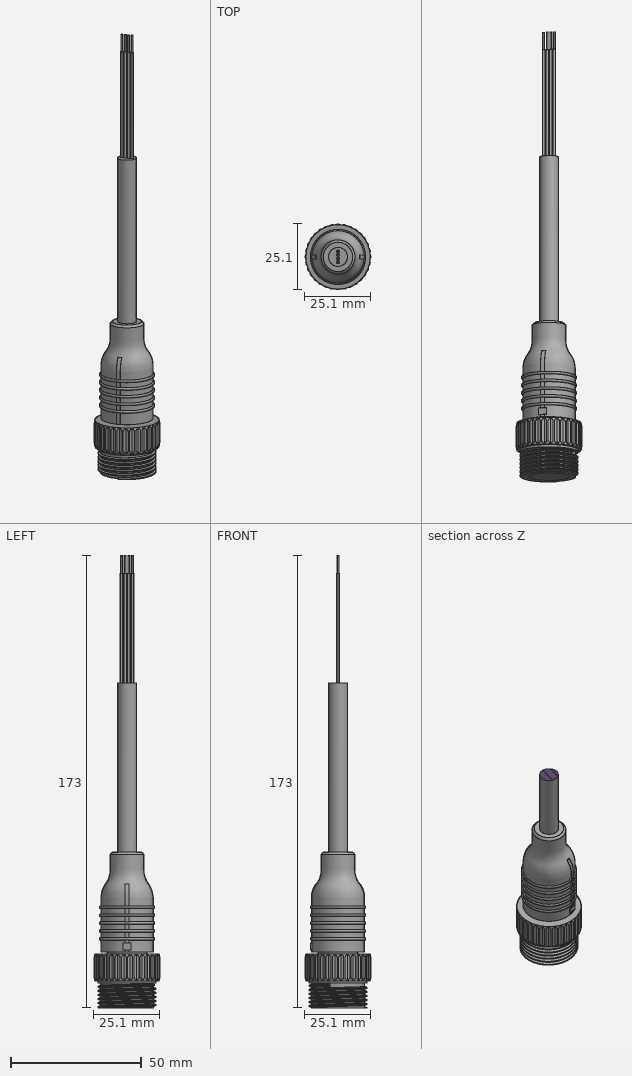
import cadquery as cq
import math

TOTAL_HEIGHT = 173.0

COLLAR_BOTTOM = 9.5
GRIP_BOTTOM = 10.4
NUT_TOP = 20.8
NUT_DIAMETER = 25.1
NUT_RADIUS = NUT_DIAMETER / 2
RIB_COUNT = 32
RIB_HEIGHT = 0.26
RIB_CREST = 0.5
GRIP_TAPER_HEIGHT = 1.2
BORE_RADIUS = 7.6

THREAD_RADIUS = 11.0
THREAD_DEPTH = 0.9
THREAD_PITCH = 1.5
THREAD_TURNS = 5.7
CREST_WIDTH = 0.3
ROOT_WIDTH = 1.2
ROOT_OVERLAP = 0.2

GRIP_END = 21.5
GRIP_RADIUS = 10.0
SHOULDER_BOTTOM = 42.2
SHOULDER_TOP = 52.8
SLEEVE_DIAMETER = 13.0
SLEEVE_RADIUS = SLEEVE_DIAMETER / 2
SLEEVE_TOP = 59.7
SLEEVE_CHAMFER = 0.9
RING_COUNT = 5
RING_RADIUS = 0.5
FIRST_RING_HEIGHT = 26.5
RING_SPAN = 12.1
RING_PITCH = RING_SPAN / (RING_COUNT - 1)

STRIPE_WIDTH = 1.5
STRIPE_HEIGHT = 0.2
MARK_WIDTH = 3.1
MARK_LENGTH = 2.6
MARK_BOTTOM = 22.3

CABLE_RADIUS = 3.6
CABLE_TOP = 124.5
WIRE_COUNT = 4
WIRE_PITCH = 1.4
INSULATION_RADIUS = 0.5
CONDUCTOR_RADIUS = 0.38
CONDUCTOR_LENGTH = 6.7


def cylinder(radius, bottom, top):
    return cq.Workplane("XY").workplane(offset=bottom).circle(radius).extrude(top - bottom)


def polar(radius, angle):
    return (radius * math.cos(angle), radius * math.sin(angle))


def ribbed_grip():
    """Grip with flat-crested ribs and V-shaped valleys, tapered to the rib roots at both ends."""
    root_radius = NUT_RADIUS - RIB_HEIGHT
    half_crest = RIB_CREST / 2 / NUT_RADIUS
    half_pitch = math.pi / RIB_COUNT
    outline = []
    for i in range(RIB_COUNT):
        angle = 2 * i * half_pitch
        outline.append(polar(NUT_RADIUS, angle - half_crest))
        outline.append(polar(NUT_RADIUS, angle + half_crest))
        outline.append(polar(root_radius, angle + half_pitch))
    grip = cq.Workplane("XY").workplane(offset=GRIP_BOTTOM).polyline(outline).close()
    grip = grip.extrude(NUT_TOP - GRIP_BOTTOM)
    envelope = cylinder(NUT_RADIUS, GRIP_BOTTOM, NUT_TOP)
    envelope = envelope.faces("<Z or >Z").chamfer(GRIP_TAPER_HEIGHT, RIB_HEIGHT)
    return grip.intersect(envelope)


def thread_ridge():
    """Helical ridge whose trapezoid section reaches slightly into the core."""
    helix = cq.Wire.makeHelix(THREAD_PITCH, THREAD_PITCH * THREAD_TURNS, THREAD_RADIUS)
    inner = THREAD_RADIUS - THREAD_DEPTH - ROOT_OVERLAP
    section = cq.Workplane("XZ").polyline([
        (inner, -ROOT_WIDTH / 2),
        (THREAD_RADIUS, -CREST_WIDTH / 2),
        (THREAD_RADIUS, CREST_WIDTH / 2),
        (inner, ROOT_WIDTH / 2),
    ]).close()
    return section.sweep(cq.Workplane(helix), isFrenet=True)


def coupling_nut():
    core = cylinder(THREAD_RADIUS - THREAD_DEPTH, 0, GRIP_BOTTOM)
    collar = cylinder(THREAD_RADIUS, COLLAR_BOTTOM, GRIP_BOTTOM)
    nut = core.union(thread_ridge()).union(collar).union(ribbed_grip())
    nut = nut.intersect(cylinder(NUT_RADIUS, 0, NUT_TOP))
    return nut.cut(cylinder(BORE_RADIUS, 0, NUT_TOP))


def moulded_grip(extra=0.0):
    """Grip, S-curved shoulder and sleeve, with every radius enlarged by `extra`."""
    rise = (SHOULDER_TOP - SHOULDER_BOTTOM) / 2
    run = (GRIP_RADIUS - SLEEVE_RADIUS) / 2
    grip_radius = GRIP_RADIUS + extra
    sleeve_radius = SLEEVE_RADIUS + extra
    middle = (sleeve_radius + run, SHOULDER_BOTTOM + rise)
    return (
        cq.Workplane("XZ")
        .moveTo(0, GRIP_END)
        .lineTo(grip_radius, GRIP_END)
        .lineTo(grip_radius, SHOULDER_BOTTOM)
        .tangentArcPoint(middle, relative=False)
        .tangentArcPoint((sleeve_radius, SHOULDER_TOP), relative=False)
        .lineTo(sleeve_radius, SLEEVE_TOP - SLEEVE_CHAMFER)
        .lineTo(sleeve_radius - SLEEVE_CHAMFER, SLEEVE_TOP)
        .lineTo(0, SLEEVE_TOP)
        .close()
        .revolve(360, (0, 0, 0), (0, 1, 0))
    )


def grip_ring(height):
    """Half-round ring, backed by a flat disc that lies inside the grip."""
    return (
        cq.Workplane("XZ")
        .moveTo(0, height - RING_RADIUS)
        .lineTo(GRIP_RADIUS, height - RING_RADIUS)
        .threePointArc((GRIP_RADIUS + RING_RADIUS, height), (GRIP_RADIUS, height + RING_RADIUS))
        .lineTo(0, height + RING_RADIUS)
        .close()
        .revolve(360, (0, 0, 0), (0, 1, 0))
    )


def side_stripes():
    """Thin raised stripes on the -X and +X sides, from the grip's end to mid-shoulder."""
    length = (SHOULDER_BOTTOM + SHOULDER_TOP) / 2 - GRIP_END
    slab = cq.Workplane("XY").workplane(offset=GRIP_END)
    slab = slab.rect(2 * (GRIP_RADIUS + STRIPE_HEIGHT), STRIPE_WIDTH).extrude(length)
    return moulded_grip(STRIPE_HEIGHT).intersect(slab)


def alignment_mark():
    """Block on the -X side, standing as proud as the rings."""
    return cq.Workplane("XY").box(
        GRIP_RADIUS + RING_RADIUS, MARK_WIDTH, MARK_LENGTH, centered=(False, True, False)
    ).translate((-GRIP_RADIUS - RING_RADIUS, 0, MARK_BOTTOM))


def wire(y):
    insulation_top = TOTAL_HEIGHT - CONDUCTOR_LENGTH
    insulation = cylinder(INSULATION_RADIUS, CABLE_TOP, insulation_top)
    conductor = cylinder(CONDUCTOR_RADIUS, insulation_top, TOTAL_HEIGHT)
    return insulation.union(conductor).translate((0, y, 0))


def plug():
    body = moulded_grip().union(cylinder(BORE_RADIUS, 0, GRIP_END))
    body = body.union(side_stripes()).union(alignment_mark())
    for i in range(RING_COUNT):
        body = body.union(grip_ring(FIRST_RING_HEIGHT + i * RING_PITCH))
    body = body.union(cylinder(CABLE_RADIUS, SLEEVE_TOP, CABLE_TOP))
    for i in range(WIRE_COUNT):
        body = body.union(wire((i - (WIRE_COUNT - 1) / 2) * WIRE_PITCH))
    return body


result = cq.Compound.makeCompound([coupling_nut().val(), plug().val()])